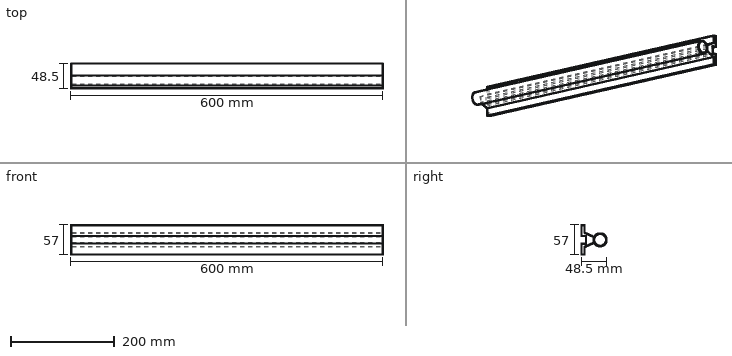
import cadquery as cq
import math

rail_length = 600.0
total_depth = 48.49
base_width = 57.0
base_thickness = 6.0
shaft_diameter = 25.0
shaft_chamfer = 1.0
neck_width = 11.0
web_foot_width = 28.0
slot_width = 14.0
slot_depth = 8.5

shaft_radius = shaft_diameter / 2
base_bottom = shaft_radius - total_depth
base_top = base_bottom + base_thickness
slot_floor = base_bottom + slot_depth
rail_start = -rail_length / 2

seat_edge = -math.sqrt(shaft_radius**2 - (neck_width / 2) ** 2)


def make_shaft(section_plane):
    """Round shaft with both ends chamfered."""
    shaft = section_plane.circle(shaft_radius).extrude(rail_length)
    return shaft.faces("|X").chamfer(shaft_chamfer)


def make_support(section_plane):
    """Extruded support: slotted flat base, tapered web and a round seat for the shaft."""
    return (
        section_plane
        .moveTo(seat_edge, neck_width / 2)
        .threePointArc((-shaft_radius, 0), (seat_edge, -neck_width / 2))
        .lineTo(base_top, -web_foot_width / 2)
        .lineTo(base_top, -base_width / 2)
        .lineTo(base_bottom, -base_width / 2)
        .lineTo(base_bottom, -slot_width / 2)
        .lineTo(slot_floor, -slot_width / 2)
        .lineTo(slot_floor, slot_width / 2)
        .lineTo(base_bottom, slot_width / 2)
        .lineTo(base_bottom, base_width / 2)
        .lineTo(base_top, base_width / 2)
        .lineTo(base_top, web_foot_width / 2)
        .close()
        .extrude(rail_length)
    )


rail_section = cq.Workplane("YZ", origin=(rail_start, 0, 0))
shaft = make_shaft(rail_section)
support = make_support(rail_section)

result = cq.Compound.makeCompound([shaft.val(), support.val()])